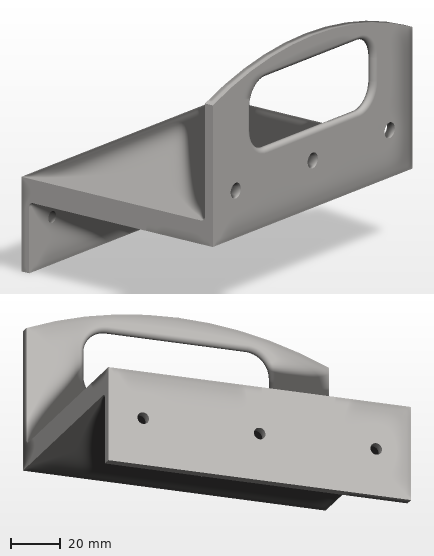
import cadquery as cq

length_x = 98.0
width_y = 130.0
height_z = 103.0

wall = 4.0
shelf_thickness = 10.0
shelf_bottom = 30.0
shelf_top = shelf_bottom + shelf_thickness
corner_radius = 2.0
shoulder_height = 90.0

grip_width = 80.0
grip_height = 30.0
grip_center_z = 78.0
grip_corner_radius = 10.0
rim_radius = wall / 2

hole_pitch = 50.0
lower_hole_diameter = 5.0
lower_hole_z = 20.0
upper_hole_diameter = 6.6
upper_hole_z = 50.0

wall_inner_x = length_x - wall


def make_bracket():
    """Z-shaped section extruded across the width, with filleted inner corners."""
    section = (
        cq.Workplane("XZ")
        .polyline([
            (0, 0),
            (wall, 0),
            (wall, shelf_bottom),
            (length_x, shelf_bottom),
            (length_x, height_z),
            (wall_inner_x, height_z),
            (wall_inner_x, shelf_top),
            (0, shelf_top),
        ])
        .close()
        .extrude(width_y / 2, both=True)
    )
    inner_corners = (
        cq.selectors.NearestToPointSelector((wall, 0, shelf_bottom))
        + cq.selectors.NearestToPointSelector((wall_inner_x, 0, shelf_top))
    )
    return section.edges(inner_corners).fillet(corner_radius)


def make_arched_outline():
    """Silhouette along X: straight sides under an arched top edge."""
    half_width = width_y / 2
    return (
        cq.Workplane("YZ")
        .moveTo(-half_width, 0)
        .lineTo(half_width, 0)
        .lineTo(half_width, shoulder_height)
        .threePointArc((0, height_z), (-half_width, shoulder_height))
        .close()
        .extrude(length_x)
    )


def cut_grip(body):
    """Cut the hand opening and line it with a half-round rim as thick as the flange."""
    outer_width = grip_width + 2 * rim_radius
    outer_height = grip_height + 2 * rim_radius
    outer_corner_radius = grip_corner_radius + rim_radius
    opening = (
        cq.Workplane("YZ", origin=(wall_inner_x, 0, grip_center_z))
        .rect(outer_width, outer_height)
        .extrude(wall)
        .edges("|X")
        .fillet(outer_corner_radius)
    )
    rim_path = opening.faces("<X").wires().translate((rim_radius, 0, 0))

    edge_z = grip_center_z - outer_height / 2
    rim = (
        cq.Workplane("XZ", origin=(wall_inner_x, 0, edge_z))
        .moveTo(0, 0)
        .threePointArc((rim_radius, rim_radius), (wall, 0))
        .close()
        .sweep(rim_path, transition="right")
    )
    return body.cut(opening).union(rim)


def hole_row(start_x, center_z, diameter):
    """Three cylinders through one flange, spaced across the width."""
    return (
        cq.Workplane("YZ", origin=(start_x, 0, center_z))
        .pushPoints([(-hole_pitch, 0), (0, 0), (hole_pitch, 0)])
        .circle(diameter / 2)
        .extrude(wall)
    )


bracket = make_bracket().intersect(make_arched_outline())
bracket = cut_grip(bracket)
bracket = bracket.cut(hole_row(0, lower_hole_z, lower_hole_diameter))
result = bracket.cut(hole_row(wall_inner_x, upper_hole_z, upper_hole_diameter))